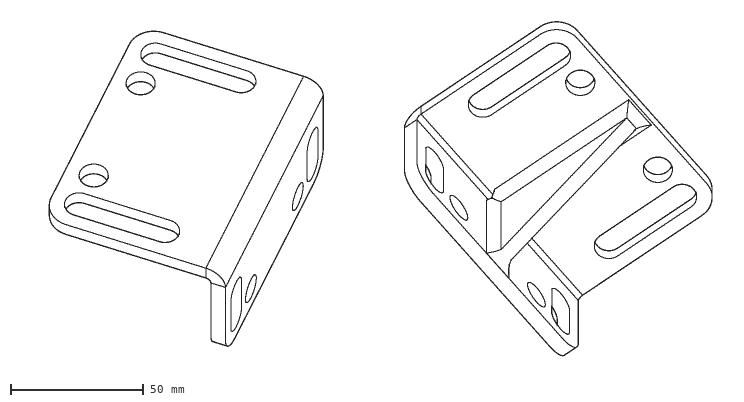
import cadquery as cq
import math

length = 75.0
width = 100.0
height = 50.0
thickness = 6.0
inner_bend_radius = 2.0
corner_radius = 10.0

hole_diameter = 11.0
edge_distance = 11.0
hole_offset = 24.0
plate_slot_spacing = 35.0
flange_slot_spacing = 16.0

gusset_thickness = 6.0
flare_size = 4.0
flare_radius = 10.0
gusset_setback = 1.0

outer_bend_radius = inner_bend_radius + thickness
plate_length = length - outer_bend_radius
flange_height = height - outer_bend_radius
slot_offset = width / 2 - edge_distance
inner_x = length - thickness
inner_z = -thickness


def drilled_sheet(sheet_length, slot_spacing):
    """Sheet lying on the XY plane, free edge at X = 0, with its slots and round holes."""
    sheet = (
        cq.Workplane("XY")
        .box(sheet_length, width, thickness, centered=(False, True, False))
        .edges("|Z and <X")
        .fillet(corner_radius)
    )
    slot_centre = edge_distance + slot_spacing / 2
    slots = (
        cq.Workplane("XY")
        .pushPoints([(slot_centre, side * slot_offset) for side in (-1, 1)])
        .slot2D(slot_spacing + hole_diameter, hole_diameter)
        .extrude(thickness)
    )
    holes = (
        cq.Workplane("XY")
        .pushPoints([(edge_distance, side * hole_offset) for side in (-1, 1)])
        .circle(hole_diameter / 2)
        .extrude(thickness)
    )
    return sheet.cut(slots).cut(holes)


def make_plate():
    return drilled_sheet(plate_length, plate_slot_spacing).translate((0, 0, -thickness))


def make_flange():
    """The same kind of sheet, turned upright with its free edge at the bottom."""
    upright = drilled_sheet(flange_height, flange_slot_spacing).rotate((0, 0, 0), (0, 1, 0), -90)
    return upright.translate((length, 0, -height))


def make_bend():
    """Quarter ring that joins the plate to the flange."""
    outer, inner = outer_bend_radius, inner_bend_radius
    diagonal = math.sqrt(0.5)
    return (
        cq.Workplane("XZ", origin=(plate_length, 0, -outer))
        .moveTo(0, outer)
        .threePointArc((outer * diagonal, outer * diagonal), (outer, 0))
        .lineTo(inner, 0)
        .threePointArc((inner * diagonal, inner * diagonal), (0, inner))
        .close()
        .extrude(width / 2, both=True)
    )


def flare_foot(foot_length):
    """Foot on the plane Z = 0 below a plate: flared at both sides and at the end X = 0."""
    half = gusset_thickness / 2
    across = (
        cq.Workplane("YZ")
        .moveTo(-half - flare_size, 0)
        .radiusArc((-half, -flare_size), flare_radius)
        .lineTo(half, -flare_size)
        .radiusArc((half + flare_size, 0), flare_radius)
        .close()
        .extrude(foot_length)
    )
    along = (
        cq.Workplane("XZ")
        .radiusArc((flare_size, -flare_size), flare_radius)
        .lineTo(foot_length, -flare_size)
        .lineTo(foot_length, 0)
        .close()
        .extrude(half + flare_size, both=True)
    )
    return across.intersect(along)


def bend_clearance():
    """Cut across the inner corner at 45 degrees that clears the bend and bevels the flare edges."""
    edge = gusset_thickness / 2 + flare_size
    bevel = inner_bend_radius
    depth = bevel / math.sqrt(2)
    corner_plane = cq.Plane(
        origin=(plate_length, 0, -outer_bend_radius),
        xDir=(0, 1, 0),
        normal=(1, 0, -1),
    )
    return (
        cq.Workplane(corner_plane)
        .moveTo(-edge, 0)
        .lineTo(-edge + bevel, depth)
        .lineTo(edge - bevel, depth)
        .lineTo(edge, 0)
        .lineTo(edge, 2 * depth)
        .lineTo(-edge, 2 * depth)
        .close()
        .extrude(flare_size, both=True)
    )


def make_gusset():
    """Triangular web with a flared foot on the plate and another on the flange."""
    tip_x = gusset_setback + flare_size
    tip_z = inner_z - flare_size
    toe_x = inner_x - flare_size
    toe_z = -height + flare_size
    web = (
        cq.Workplane("XZ")
        .polyline([(tip_x, inner_z), (tip_x, tip_z), (toe_x, toe_z), (inner_x, toe_z), (inner_x, inner_z)])
        .close()
        .extrude(gusset_thickness / 2, both=True)
    )
    plate_foot = flare_foot(inner_x - gusset_setback).translate((gusset_setback, 0, inner_z))
    flange_foot = (
        flare_foot(height - thickness)
        .mirror("XY")
        .rotate((0, 0, 0), (0, 1, 0), -90)
        .translate((inner_x, 0, -height))
    )
    return web.union(plate_foot).union(flange_foot).cut(bend_clearance())


plate = make_plate()
flange = make_flange()
bend = make_bend()
gusset = make_gusset()

result = cq.Compound.makeCompound([plate.val(), flange.val(), bend.val(), gusset.val()])